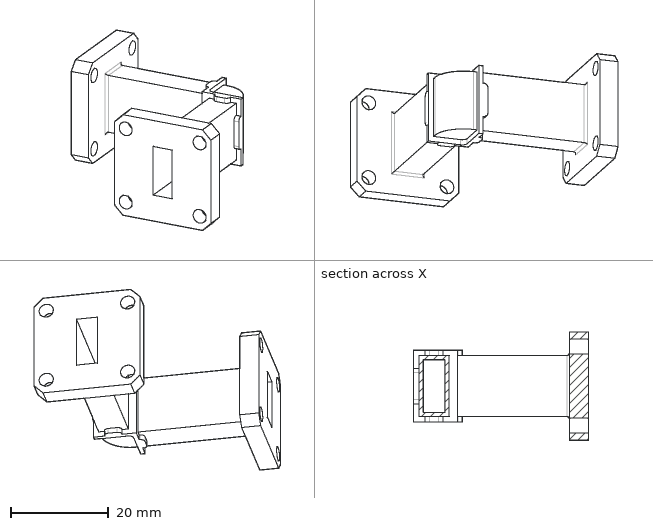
import cadquery as cq

overall_length = 42.85
flange_size = 22.25
flange_thickness = 4.0
flange_chamfer = 1.95
bolt_spacing_across = 17.05
bolt_spacing_up = 16.2
bolt_hole_diameter = 2.95

tube_width = 6.2
tube_height = 12.55
bore_width = 4.37
bore_height = 10.75
weld_size = 0.5

collar_face = 26.95
collar_thickness = 0.95
collar_overhang = 1.1
collar_inner_radius = 1.05
pad_depth = 1.05
pad_width = 3.65
side_pad_width = 7.3
pad_corner_radius = 0.9

axis_offset = overall_length - flange_size / 2
bend_center = axis_offset - tube_width / 2
outer_wall = axis_offset + tube_width / 2
collar_outer = outer_wall + collar_overhang
collar_back = collar_face + collar_thickness
elbow_height = tube_height
collar_height = tube_height + 2 * collar_overhang
bore_inner_radius = (tube_width - bore_width) / 2
bore_outer_radius = bore_inner_radius + bore_width


def mirrored_pair(body):
    """Join a body of the X arm with its copy for the Y arm (X and Y swapped)."""
    other = body.mirror("XZ").rotate((0, 0, 0), (0, 0, 1), 90)
    return body.union(other)


def section_along_x(start, width, height, length):
    """Block along X, centred on the axis of the X arm."""
    return (
        cq.Workplane("YZ", origin=(start, axis_offset, 0))
        .rect(width, height)
        .extrude(length)
    )


def flange():
    """Chamfered square plate with four bolt holes."""
    plate = section_along_x(0, flange_size, flange_size, flange_thickness)
    return (
        plate.edges("|X").chamfer(flange_chamfer)
        .faces("<X").workplane(centerOption="CenterOfBoundBox")
        .rect(bolt_spacing_across, bolt_spacing_up, forConstruction=True)
        .vertices()
        .hole(bolt_hole_diameter)
    )


def arm():
    """Flange and tube of the X arm, up to the collar."""
    tube = section_along_x(0, tube_width, tube_height, collar_back)
    across = tube_width / 2 + weld_size
    up = tube_height / 2 + weld_size
    joint = cq.selectors.BoxSelector(
        (flange_thickness - weld_size, axis_offset - across, -up),
        (flange_thickness + weld_size, axis_offset + across, up),
    )
    return flange().union(tube).edges(joint).fillet(weld_size)


def collar_pads():
    """Rounded pads standing off the collar face above, below and outside the tube."""
    pad_start = collar_face - pad_depth
    upright = (
        section_along_x(pad_start, pad_width, collar_height, pad_depth)
        .faces("<X").edges("|Z").fillet(pad_corner_radius)
    )
    sideways = (
        cq.Workplane("XY", origin=(0, 0, -side_pad_width / 2))
        .moveTo(pad_start, axis_offset)
        .rect(pad_depth, collar_outer - axis_offset, centered=False)
        .extrude(side_pad_width)
        .faces("<X").edges("|Y").fillet(pad_corner_radius)
    )
    return upright.union(sideways)


def collar():
    """Angle-shaped collar that wraps the inside of the elbow."""
    leg_length = collar_outer - collar_face
    base = cq.Workplane("XY", origin=(0, 0, -collar_height / 2))
    leg = (
        base.moveTo(collar_face, collar_face)
        .rect(collar_thickness, leg_length, centered=False)
        .extrude(collar_height)
    )
    corner = cq.selectors.NearestToPointSelector((collar_back, collar_back, 0))
    angle = mirrored_pair(leg).edges("|Z").edges(corner).fillet(collar_inner_radius)
    return angle.union(mirrored_pair(collar_pads()))


def quarter_turn(radius, height):
    """Quarter cylinder around the bend centre, opening towards +X and +Y."""
    return (
        cq.Workplane("XY", origin=(bend_center, bend_center, -height / 2))
        .lineTo(radius, 0)
        .radiusArc((0, radius), -radius)
        .close()
        .extrude(height)
    )


def elbow():
    """Block behind the collar with a fully rounded outer corner."""
    side = outer_wall - collar_back
    block = (
        cq.Workplane("XY", origin=(0, 0, -elbow_height / 2))
        .moveTo(collar_back, collar_back)
        .rect(side, side, centered=False)
        .extrude(elbow_height)
    )
    return block.edges("|Z and >X and >Y").fillet(tube_width)


def bore():
    """Waveguide passage: two straight runs joined by a quarter turn."""
    straight = section_along_x(0, bore_width, bore_height, bend_center)
    turn = quarter_turn(bore_outer_radius, bore_height).cut(
        quarter_turn(bore_inner_radius, bore_height)
    )
    return mirrored_pair(straight).union(turn)


result = mirrored_pair(arm()).union(collar()).union(elbow()).cut(bore())